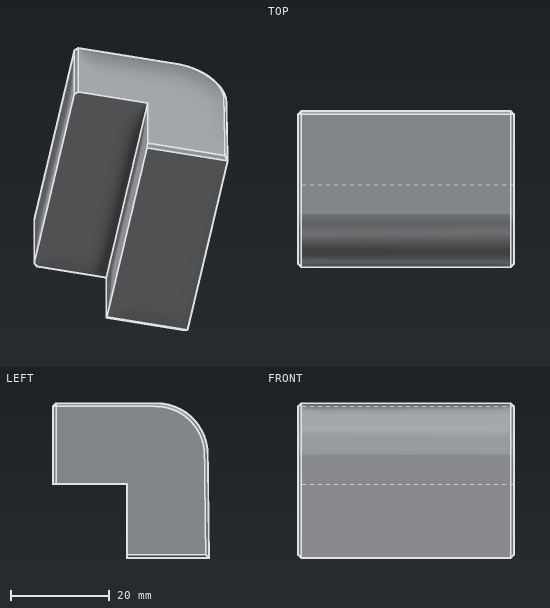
import cadquery as cq

length = 43.7
base_depth = 31.65
height = 31.4

shoulder_depth = 31.4
corner_radius = 10.5
notch_side = 15.0
chamfer_size = 0.7
tolerance = 0.005

arc_center_y = corner_radius - shoulder_depth
arc_center_z = height - corner_radius
arc_reach = corner_radius * 0.5 ** 0.5
arc_middle = (arc_center_y - arc_reach, arc_center_z + arc_reach)


def make_body():
    """L profile extruded along X, with a round top front corner."""
    return (
        cq.Workplane("YZ", origin=(-length / 2, 0, 0))
        .moveTo(0, notch_side)
        .lineTo(0, height)
        .lineTo(arc_center_y, height)
        .threePointArc(arc_middle, (-shoulder_depth, arc_center_z))
        .lineTo(-base_depth, 0)
        .lineTo(-notch_side, 0)
        .lineTo(-notch_side, notch_side)
        .close()
        .extrude(length)
    )


def is_notch_edge(edge):
    """True for the edges along the two inner faces of the notch."""
    box = edge.BoundingBox()
    on_ceiling = abs(box.zmin - notch_side) < tolerance and abs(box.zmax - notch_side) < tolerance
    on_wall = abs(box.ymin + notch_side) < tolerance and abs(box.ymax + notch_side) < tolerance
    return on_ceiling or on_wall


def chamfer_outside(body):
    """Chamfer the outer end outlines together with the top rear edge."""
    end_edges = body.faces("<X or >X").edges().vals()
    outer_edges = [edge for edge in end_edges if not is_notch_edge(edge)]
    rear_top_edge = body.faces(">Y").edges(">Z").vals()
    return body.newObject(outer_edges + rear_top_edge).chamfer(chamfer_size)


result = chamfer_outside(make_body())